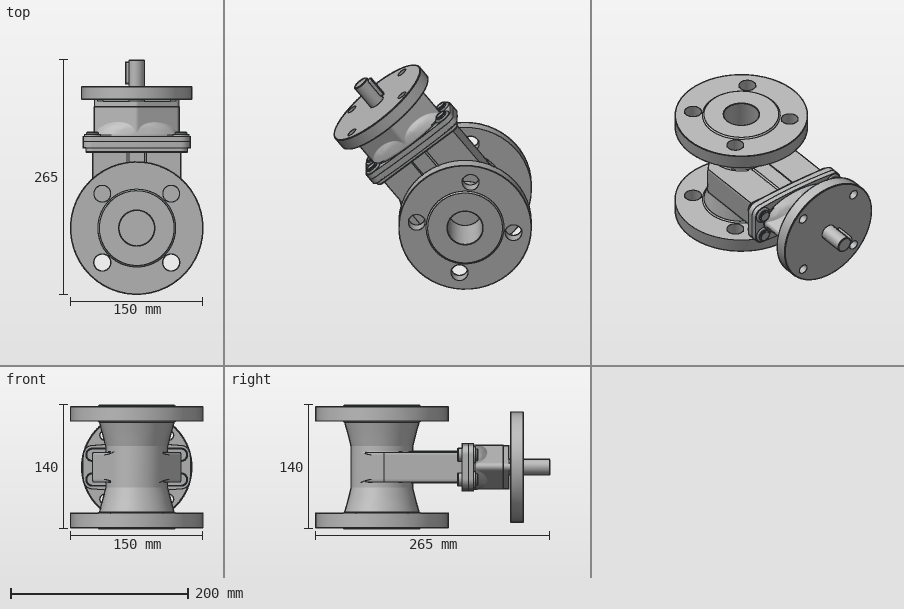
import cadquery as cq
import math


FACE_TO_FACE = 140.0
PIPE_FLANGE_D = 150.0
PIPE_FLANGE_THICKNESS = 16.5
PIPE_FLANGE_CHAMFER = 0.5
RAISED_FACE_D = 88.0
RAISED_FACE_TOP_D = 84.5
RAISED_FACE_HEIGHT = 1.5
PIPE_BOLT_CIRCLE_D = 110.0
PIPE_BOLT_HOLE_D = 19.0
BORE_D = 40.0
BORE_CHAMFER = 0.5
SHUTTER_THICKNESS = 20.0
BARREL_D = 70.0
BARREL_HALF_LENGTH = 23.5
NECK_END_D = 84.4
NECK_ROOT_D = 88.0
NECK_ROOT_HEIGHT = 1.3

CHEST_HALF_WIDTH = 50.0
CHEST_HALF_HEIGHT = 16.5
CHEST_BEVEL_HEIGHT = 2.5
CHEST_BEVEL_INSET = 0.5
CHEST_TAPER_START_Y = 2.4
CHEST_TAPER_END_Y = -23.7
CHEST_SIDE_FLARE_RADIUS = 3.3
CHEST_TOP_FLARE_RADIUS = 1.0
RIB_BASE_HALF_WIDTH = 11.0
RIB_TOP_HALF_WIDTH = 9.0
RIB_HALF_HEIGHT = 18.0

JOINT_Y = 97.6
JOINT_PLATE_HOUSING = 7.0
JOINT_PLATE_BONNET = 6.0
JOINT_BOLT_X = 50.0
JOINT_BOLT_Z = 14.0
JOINT_CORNER_RADIUS = 10.5
JOINT_HALF_HEIGHT = 27.0
BOSS_RADIUS = 7.5
BACKING_LENGTH = 5.3
BACKING_HALF_HEIGHT = JOINT_BOLT_Z + BOSS_RADIUS
BACKING_CHAMFER = 1.0
PAD_BASE_RADIUS = 9.2
PAD_BASE_HEIGHT = 2.2
PAD_BASE_FILLET = 1.0
PAD_RADIUS = 6.8
PAD_HEIGHT = 4.8
PAD_CHAMFER = 1.0

COLUMN_HALF_WIDTH = 55.2
COLUMN_HALF_HEIGHT = 25.4
COLUMN_CORNER_RADIUS = 5.0
COLUMN_TOP_Y = 137.6
COLUMN_TOP_BEVEL_HEIGHT = 0.8
COLUMN_TOP_BEVEL_INSET = 0.45
DOME_SECTIONS = [(1.6, 48.8, 25.2), (7.5, 44.5, 24.3), (16.5, 30.8, 19.2)]
DOME_BLEND_RADIUS = 0.8

YOKE_BASE_TOP_Y = 143.5
LUG_INNER_X = 38.0
LUG_HALF_HEIGHT = 4.5
DISC_BOTTOM_Y = 145.0
DISC_TOP_Y = 160.0
DISC_D = 125.0
DISC_CHAMFER = 0.8
DISC_BOLT_CIRCLE_D = 102.0
DISC_BOLT_HOLE_D = 11.0

SHAFT_D = 18.0
SHAFT_END_Y = 190.0
SHAFT_CHAMFER = 0.8
KEY_WIDTH = 6.0
KEY_HEIGHT = 6.0
KEY_LENGTH = 25.0
KEY_CENTER_Y = 175.1
KEY_OUTER_X = -12.5

BONNET_PLATE_TOP_Y = JOINT_Y + JOINT_PLATE_BONNET
HOUSING_PLATE_BOTTOM_Y = JOINT_Y - JOINT_PLATE_HOUSING
JOINT_CORNERS = [(x, z) for x in (-JOINT_BOLT_X, JOINT_BOLT_X) for z in (-JOINT_BOLT_Z, JOINT_BOLT_Z)]


def plane_at_y(y):
    """Workplane facing +Y; its local coordinates are (-X, Z)."""
    return cq.Workplane(cq.Plane(origin=(0, y, 0), xDir=(-1, 0, 0), normal=(0, 1, 0)))


def joint_plate(y, thickness):
    """Joint plate: rounded corners, flat short sides, long sides bulging as large arcs."""
    x, z, r = JOINT_BOLT_X, JOINT_BOLT_Z, JOINT_CORNER_RADIUS
    drop = JOINT_HALF_HEIGHT - z
    big = (x**2 + drop**2 - r**2) / (2 * (drop - r))
    lean = math.asin(x / (big - r))
    tangent_x = big * math.sin(lean)
    tangent_z = JOINT_HALF_HEIGHT - big * (1 - math.cos(lean))
    mid = math.pi / 4 - lean / 2
    mid_x = x + r * math.cos(mid)
    mid_z = z + r * math.sin(mid)
    return (
        plane_at_y(y)
        .moveTo(x + r, -z)
        .lineTo(x + r, z)
        .threePointArc((mid_x, mid_z), (tangent_x, tangent_z))
        .threePointArc((0, JOINT_HALF_HEIGHT), (-tangent_x, tangent_z))
        .threePointArc((-mid_x, mid_z), (-x - r, z))
        .lineTo(-x - r, -z)
        .threePointArc((-mid_x, -mid_z), (-tangent_x, -tangent_z))
        .threePointArc((0, -JOINT_HALF_HEIGHT), (tangent_x, -tangent_z))
        .threePointArc((mid_x, -mid_z), (x + r, -z))
        .close()
        .extrude(thickness)
    )


def column(y_start, y_end, inset=0.0):
    """Prism along Y with a rhombus section and rounded corners, drawn in by `inset` all round."""
    side_length = math.hypot(COLUMN_HALF_WIDTH, COLUMN_HALF_HEIGHT)
    side_distance = COLUMN_HALF_WIDTH * COLUMN_HALF_HEIGHT / side_length
    scale = 1 - inset / side_distance
    half_width = COLUMN_HALF_WIDTH * scale
    half_height = COLUMN_HALF_HEIGHT * scale
    prism = (
        plane_at_y(y_start)
        .polyline([(half_width, 0), (0, half_height), (-half_width, 0), (0, -half_height)])
        .close()
        .extrude(y_end - y_start)
    )
    return prism.edges("|Y").fillet(COLUMN_CORNER_RADIUS - inset)


def flow_body():
    """Barrel, flared necks, pipe flanges and raised faces as one revolved profile."""
    end = FACE_TO_FACE / 2
    face = end - RAISED_FACE_HEIGHT
    back = face - PIPE_FLANGE_THICKNESS
    half_profile = [
        (BARREL_D / 2, BARREL_HALF_LENGTH),
        (NECK_END_D / 2, back - NECK_ROOT_HEIGHT),
        (NECK_ROOT_D / 2, back),
        (PIPE_FLANGE_D / 2, back),
        (PIPE_FLANGE_D / 2, face - PIPE_FLANGE_CHAMFER),
        (PIPE_FLANGE_D / 2 - PIPE_FLANGE_CHAMFER, face),
        (RAISED_FACE_D / 2, face),
        (RAISED_FACE_TOP_D / 2, end),
        (0, end),
    ]
    mirrored_profile = [(x, -z) for x, z in reversed(half_profile)]
    profile = cq.Workplane("XZ").polyline(half_profile + mirrored_profile).close()
    return profile.revolve(360, (0, 0, 0), (0, 1, 0))


def chest_outline(z):
    """Chest outline at height z: straight sides, then walls converging on the barrel."""
    end_x = math.sqrt((BARREL_D / 2) ** 2 - CHEST_TAPER_END_Y**2)
    return (
        cq.Workplane("XY", origin=(0, 0, z))
        .moveTo(CHEST_HALF_WIDTH, HOUSING_PLATE_BOTTOM_Y)
        .lineTo(-CHEST_HALF_WIDTH, HOUSING_PLATE_BOTTOM_Y)
        .lineTo(-CHEST_HALF_WIDTH, CHEST_TAPER_START_Y)
        .lineTo(-end_x, CHEST_TAPER_END_Y)
        .lineTo(end_x, CHEST_TAPER_END_Y)
        .lineTo(CHEST_HALF_WIDTH, CHEST_TAPER_START_Y)
        .close()
    )


def barrel_flare(z, radius):
    """Ring with a concave quarter-round rim, rising from height z into the barrel's wall."""
    barrel_radius = BARREL_D / 2
    return (
        cq.Workplane("XZ")
        .moveTo(0, z)
        .lineTo(barrel_radius + radius, z)
        .radiusArc((barrel_radius, z + radius), radius)
        .lineTo(0, z + radius)
        .close()
        .revolve(360, (0, 0, 0), (0, 1, 0))
    )


def chest():
    """Chest with bevelled long edges, a raised middle rib and a flare where it meets the barrel."""
    side_half = CHEST_HALF_HEIGHT - CHEST_BEVEL_HEIGHT
    bevel_angle = math.degrees(math.atan(CHEST_BEVEL_INSET / CHEST_BEVEL_HEIGHT))
    middle = chest_outline(0).extrude(side_half)
    bevel = chest_outline(side_half).extrude(CHEST_BEVEL_HEIGHT, taper=bevel_angle)
    rib = (
        cq.Workplane("XZ")
        .polyline([
            (-RIB_BASE_HALF_WIDTH, 0),
            (RIB_BASE_HALF_WIDTH, 0),
            (RIB_BASE_HALF_WIDTH, CHEST_HALF_HEIGHT),
            (RIB_TOP_HALF_WIDTH, RIB_HALF_HEIGHT),
            (-RIB_TOP_HALF_WIDTH, RIB_HALF_HEIGHT),
            (-RIB_BASE_HALF_WIDTH, CHEST_HALF_HEIGHT),
        ])
        .close()
        .extrude(-HOUSING_PLATE_BOTTOM_Y)
    )
    side_flare = barrel_flare(side_half, CHEST_SIDE_FLARE_RADIUS)
    side_flare = side_flare.intersect(chest_outline(side_half).extrude(CHEST_SIDE_FLARE_RADIUS))
    top_flare = barrel_flare(CHEST_HALF_HEIGHT, CHEST_TOP_FLARE_RADIUS)
    top_flare = top_flare.intersect(
        chest_outline(side_half).extrude(CHEST_BEVEL_HEIGHT + CHEST_TOP_FLARE_RADIUS, taper=bevel_angle)
    )
    half = middle.union(bevel).union(rib).union(side_flare).union(top_flare)
    return half.union(half.mirror("XY"))


def joint_backing():
    """Thickening behind the housing's joint plate with a round boss at each bolt."""
    y = HOUSING_PLATE_BOTTOM_Y - BACKING_LENGTH
    block = plane_at_y(y).rect(2 * CHEST_HALF_WIDTH, 2 * BACKING_HALF_HEIGHT).extrude(BACKING_LENGTH)
    bosses = plane_at_y(y).pushPoints(JOINT_CORNERS).circle(BOSS_RADIUS).extrude(BACKING_LENGTH)
    return block.union(bosses).faces("<Y").chamfer(BACKING_CHAMFER)


def bore(sign):
    """Blind bore with a chamfered mouth, from one flange face down to the shutter wall."""
    end = FACE_TO_FACE / 2
    r = BORE_D / 2
    profile = [
        (0, SHUTTER_THICKNESS / 2),
        (r, SHUTTER_THICKNESS / 2),
        (r, end - BORE_CHAMFER),
        (r + BORE_CHAMFER, end),
        (0, end),
    ]
    cutter = cq.Workplane("XZ").polyline(profile).close().revolve(360, (0, 0, 0), (0, 1, 0))
    return cutter if sign > 0 else cutter.mirror("XY")


def pipe_bolt_holes(sign):
    """Four through holes in one pipe flange, straddling the X and Y axes."""
    depth = RAISED_FACE_HEIGHT + PIPE_FLANGE_THICKNESS
    holes = (
        cq.Workplane("XY", origin=(0, 0, FACE_TO_FACE / 2 - depth))
        .polarArray(PIPE_BOLT_CIRCLE_D / 2, 45, 360, 4)
        .circle(PIPE_BOLT_HOLE_D / 2)
        .extrude(depth)
    )
    return holes if sign > 0 else holes.mirror("XY")


def make_housing():
    housing = flow_body().union(chest()).union(joint_backing())
    housing = housing.union(joint_plate(HOUSING_PLATE_BOTTOM_Y, JOINT_PLATE_HOUSING))
    for sign in (1, -1):
        housing = housing.cut(bore(sign)).cut(pipe_bolt_holes(sign))
    return housing


def dome():
    """Oval dome swelling out of the column's four faces at its foot."""
    wires = []
    for height, half_width, half_height in DOME_SECTIONS:
        section = plane_at_y(BONNET_PLATE_TOP_Y + height).ellipse(half_width, half_height)
        wires.append(section.val())
    rim_height, rim_half_width, rim_half_height = DOME_SECTIONS[0]
    rim = plane_at_y(BONNET_PLATE_TOP_Y).ellipse(rim_half_width, rim_half_height).extrude(rim_height)
    return rim.union(cq.Workplane(cq.Solid.makeLoft(wires)))


def column_and_dome():
    """Column with the dome at its foot, blended along the curves where they meet."""
    prism = column(BONNET_PLATE_TOP_Y, COLUMN_TOP_Y)
    prism = prism.faces(">Y").chamfer(COLUMN_TOP_BEVEL_HEIGHT, COLUMN_TOP_BEVEL_INSET)
    body = prism.union(dome())
    dome_top_y = BONNET_PLATE_TOP_Y + DOME_SECTIONS[-1][0]
    rim_y = BONNET_PLATE_TOP_Y + DOME_SECTIONS[0][0]
    meeting_curves = cq.selectors.BoxSelector(
        (-COLUMN_HALF_WIDTH, rim_y + DOME_BLEND_RADIUS, -COLUMN_HALF_HEIGHT),
        (COLUMN_HALF_WIDTH, dome_top_y - DOME_BLEND_RADIUS, COLUMN_HALF_HEIGHT),
    )
    return body.edges(meeting_curves).fillet(DOME_BLEND_RADIUS)


def bolt_pads():
    """Stepped round pad on the bonnet plate at each joint bolt."""
    plane = plane_at_y(BONNET_PLATE_TOP_Y).pushPoints(JOINT_CORNERS)
    base = plane.circle(PAD_BASE_RADIUS).extrude(PAD_BASE_HEIGHT).faces(">Y").edges().fillet(PAD_BASE_FILLET)
    top = plane.circle(PAD_RADIUS).extrude(PAD_HEIGHT).faces(">Y").edges().chamfer(PAD_CHAMFER)
    return base.union(top)


def make_bonnet():
    bonnet = joint_plate(JOINT_Y, JOINT_PLATE_BONNET)
    return bonnet.union(column_and_dome()).union(bolt_pads())


def make_actuator_flange():
    """Round flange carried on a rhombus base by a lug at each end, with a shaft hole through both."""
    base = column(COLUMN_TOP_Y, YOKE_BASE_TOP_Y, COLUMN_TOP_BEVEL_INSET)
    lug_height = DISC_BOTTOM_Y - YOKE_BASE_TOP_Y
    lug_plane = plane_at_y(YOKE_BASE_TOP_Y)
    lug_band = lug_plane.rect(2 * COLUMN_HALF_WIDTH, 2 * LUG_HALF_HEIGHT).extrude(lug_height)
    gap = lug_plane.rect(2 * LUG_INNER_X, 2 * LUG_HALF_HEIGHT).extrude(lug_height)
    lugs = column(YOKE_BASE_TOP_Y, DISC_BOTTOM_Y, COLUMN_TOP_BEVEL_INSET).intersect(lug_band).cut(gap)
    disc = plane_at_y(DISC_BOTTOM_Y).circle(DISC_D / 2).extrude(DISC_TOP_Y - DISC_BOTTOM_Y)
    disc = disc.edges().chamfer(DISC_CHAMFER)
    bolt_holes = (
        plane_at_y(DISC_BOTTOM_Y)
        .polarArray(DISC_BOLT_CIRCLE_D / 2, 45, 360, 4)
        .circle(DISC_BOLT_HOLE_D / 2)
        .extrude(DISC_TOP_Y - DISC_BOTTOM_Y)
    )
    shaft_hole = plane_at_y(COLUMN_TOP_Y).circle(SHAFT_D / 2).extrude(DISC_TOP_Y - COLUMN_TOP_Y)
    return base.union(lugs).union(disc).cut(bolt_holes).cut(shaft_hole)


def make_key():
    """Parallel key with round ends, set into the -X side of the shaft."""
    plane = cq.Plane(origin=(KEY_OUTER_X, KEY_CENTER_Y, 0), xDir=(0, 1, 0), normal=(1, 0, 0))
    return cq.Workplane(plane).slot2D(KEY_LENGTH, KEY_WIDTH).extrude(KEY_HEIGHT)


def make_shaft(key):
    shaft = plane_at_y(COLUMN_TOP_Y).circle(SHAFT_D / 2).extrude(SHAFT_END_Y - COLUMN_TOP_Y)
    return shaft.faces(">Y").chamfer(SHAFT_CHAMFER).cut(key)


housing = make_housing()
bonnet = make_bonnet()
actuator_flange = make_actuator_flange()
key = make_key()
shaft = make_shaft(key)

result = cq.Compound.makeCompound([
    housing.val(),
    bonnet.val(),
    actuator_flange.val(),
    shaft.val(),
    key.val(),
])